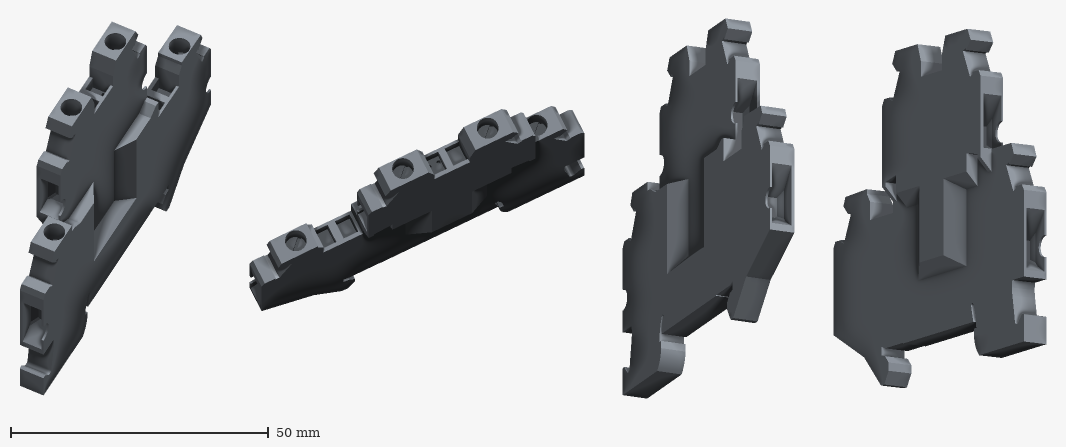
import cadquery as cq

TOTAL_WIDTH = 7.72
SLAB_WIDTH = 5.2
LOWER_X = TOTAL_WIDTH - SLAB_WIDTH
HEIGHT = 64.35
LOWER_HALF_LENGTH = 69.9 / 2
UPPER_HALF_LENGTH = 18.05
UPPER_CENTRE_Y = -5.05

HEAD_RISE = 8.85
LOWER_HEAD_TOP = 40.05
LOWER_LIP_Z = LOWER_HEAD_TOP - HEAD_RISE
UPPER_LIP_Z = HEIGHT - HEAD_RISE

HEAD_OFFSETS = [
    (3.65, 6.5),
    (5.3, 4.75),
    (5.55, 5.15),
    (6.5, 4.75),
    (3.85, -0.85),
    (2.85, -0.4),
    (3.05, 0.0),
    (0.7, 0.0),
    (0.0, -1.2),
]

LEDGE_Z = 33.4
LEDGE_WALL_Y = 21.5
POST_RISE = 1.37
POST_TOP_INSET = 1.1
POST_TOP_TILT = 0.04
PLUS_POST_LENGTH = 3.3
MINUS_POST_LENGTH = 3.6
FOOT_FACE_Z = 12.85
RAIL_SEAT_Z = 6.95

MINUS_HEAD_CORNER_Y = -30.35

PLUS_CLAMP_TOP = [(LEDGE_WALL_Y, LEDGE_Z), (LEDGE_WALL_Y, 37.0), (22.7, 38.75), (22.7, 39.7), (30.6, 39.45)]
RAIL_HOOK = [(23.7, 6.6), (17.5, 0), (16.3, 0), (14.7, 2.45), (14.7, 4.1), (16.0, 5.55),
             (17.25, 5.9), (17.25, 7.6), (16.0, 7.1), (9.45, 7.1), (9.45, RAIL_SEAT_Z)]
SLOT_MOUTH = (-16.4, RAIL_SEAT_Z)
SLOT_INNER_TOP = (-15.55, 10.4)
SLOT_CROWN = (-16.0, 10.75)
SLOT_OUTER_TOP = (-16.4, 10.4)
SLOT_OUTER_MIDDLE = (-17.2, 8.2)
SLOT_OUTER_END = (-17.5, 5.6)
FOOT_NOSE = [(-16.65, 5.6), (-16.65, 4.1)]
FOOT_NOSE_MIDDLE = (-17.2, 2.0)
FOOT_TOE_Y = -18.55
FOOT_LIP = [(-LOWER_HALF_LENGTH, 5.4), (-34.3, 5.6), (-33.0, 4.2)]
RECESS_ARCS = [
    ((-32.3, 3.85), (-31.7, 4.4)),
    ((-31.25, 7.1), (-30.75, 9.8)),
    ((-30.64, 10.6), (-30.6, 11.4)),
    ((-30.64, 12.2), (-30.75, FOOT_FACE_Z)),
]

UPPER_GAP_Z = 57.7
UPPER_GAP_HALF = 3.85
UPPER_INNER_TOP = 5.1
UPPER_CHAMFER_Z = 60.8
UPPER_OUTER_TOP = 13.25

BEVEL_DROP = 2.65
END_BOTTOM_Z = 38.2
BACK_BOTTOM_Z = END_BOTTOM_Z - BEVEL_DROP
MIDDLE_BOTTOM_Z = 36.2
POST_Z = END_BOTTOM_Z
SADDLE_Z = POST_Z - POST_RISE
TONGUE_BOTTOM_Z = 21.05
TONGUE_HALF_NARROW = 4.37
TONGUE_HALF_WIDE = 8.83
NOTCH_OUTER = 16.9
NOTCH_INNER = 12.9
NOTCH_OUTER_Z = 39.0
NOTCH_INNER_Z = 39.75

SCREW_X = 2.92
SCREW_RADIUS = 2.1
SCREW_DEPTH = 5.0
SCREW_SLOT_WIDTH = 0.65
SCREW_SLOT_DEPTH = 0.8
SCREW_INSET = 8.87

SOCKET_X = 0.8
SOCKET_WIDTH = 3.85
SOCKET_LENGTH = 3.15
SOCKET_PITCH = 4.75
SOCKET_DEPTH = 3.0
PIN_RADIUS = 0.4
PIN_DEPTH = 1.5
PIN_SPACING = 2.0
PIN_Y = -1.85
PIN_X = 3.45

ENTRY_X = 0.65
ENTRY_WIDTH = 4.1
ENTRY_DEPTH = 4.6
ENTRY_STRAIGHT = 3.4
ENTRY_NARROWING = 1.0
ENTRY_FACET = 0.35
ENTRY_TOP_DROP = 4.7
ENTRY_ROOF_FALL = 5.4
ENTRY_BACK_HEIGHT = 4.1
ENTRY_FULL_FLOOR = [(0.0, 2.75)]
ENTRY_SHORT_FLOOR = [(3.6, 0.65), (0.0, 1.2)]
ENTRY_HOLE_DROP = 7.1
ENTRY_HOLE_RADIUS = 2.15


def head_outline(end_y, outward, lip_z, tops):
    """Clamp outline from inner top edge to the outer end face; tops holds the points before the head corner."""
    return tops + [(end_y - outward * inset, lip_z + rise) for inset, rise in HEAD_OFFSETS]


def slab(outline, x_start, width):
    return cq.Workplane("YZ").workplane(offset=x_start).polyline(outline).close().extrude(width)


def lower_tier():
    post_y = UPPER_CENTRE_Y + UPPER_HALF_LENGTH
    far_post_y = UPPER_CENTRE_Y - UPPER_HALF_LENGTH
    end = LOWER_HALF_LENGTH
    plus_head = head_outline(end, 1, LOWER_LIP_Z, PLUS_CLAMP_TOP)
    minus_head = head_outline(-end, -1, LOWER_LIP_Z, [(MINUS_HEAD_CORNER_Y, LOWER_HEAD_TOP)])
    saddle = [
        (far_post_y, LOWER_HEAD_TOP),
        (far_post_y, POST_Z + POST_TOP_TILT),
        (far_post_y + POST_TOP_INSET, POST_Z),
        (far_post_y + MINUS_POST_LENGTH, SADDLE_Z),
        (post_y - PLUS_POST_LENGTH, SADDLE_Z),
        (post_y - POST_TOP_INSET, POST_Z),
        (post_y, POST_Z - POST_TOP_TILT),
        (post_y, LEDGE_Z),
    ]
    profile = cq.Workplane("YZ").workplane(offset=LOWER_X).polyline(
        minus_head[::-1] + saddle + plus_head + [(end, FOOT_FACE_Z)] + RAIL_HOOK + [SLOT_MOUTH, SLOT_INNER_TOP])
    profile = profile.threePointArc(SLOT_CROWN, SLOT_OUTER_TOP)
    profile = profile.threePointArc(SLOT_OUTER_MIDDLE, SLOT_OUTER_END)
    profile = profile.polyline(FOOT_NOSE, includeCurrent=True)
    profile = profile.threePointArc(FOOT_NOSE_MIDDLE, (FOOT_TOE_Y, 0))
    profile = profile.polyline([(-end, 0)] + FOOT_LIP, includeCurrent=True)
    for middle, arc_end in RECESS_ARCS:
        profile = profile.threePointArc(middle, arc_end)
    profile = profile.lineTo(-end, FOOT_FACE_Z)
    return profile.close().extrude(SLAB_WIDTH)


def mirrored(points):
    """Half outline given as (distance from the upper tier centre, z), completed by symmetry."""
    right = [(UPPER_CENTRE_Y + half, z) for half, z in points]
    left = [(UPPER_CENTRE_Y - half, z) for half, z in points[::-1]]
    return right + left


def upper_half_top():
    return head_outline(UPPER_HALF_LENGTH, 1, UPPER_LIP_Z, [
        (UPPER_GAP_HALF, UPPER_GAP_Z), (UPPER_GAP_HALF, UPPER_CHAMFER_Z),
        (UPPER_INNER_TOP, HEIGHT), (UPPER_OUTER_TOP, HEIGHT)])


def beveled_block(half_face, half_base, bottom_z, top_z):
    """Block from X = 0 to LOWER_X whose underside (and sides, if wider at the base) slope outwards."""
    def rectangle(plane, half, low):
        return plane.polyline([(UPPER_CENTRE_Y - half, low), (UPPER_CENTRE_Y + half, low),
                               (UPPER_CENTRE_Y + half, top_z), (UPPER_CENTRE_Y - half, top_z)]).close()
    face = rectangle(cq.Workplane("YZ"), half_face, bottom_z)
    base = rectangle(face.workplane(offset=LOWER_X), half_base, bottom_z - BEVEL_DROP)
    return base.loft(ruled=True, combine=True)


def tongue(top_z):
    return beveled_block(TONGUE_HALF_NARROW, TONGUE_HALF_WIDE, TONGUE_BOTTOM_Z, top_z)


def upper_tier():
    top = upper_half_top()
    body = slab(mirrored(top + [(UPPER_HALF_LENGTH, LOWER_HEAD_TOP)]), 0, SLAB_WIDTH)
    skirt = beveled_block(UPPER_HALF_LENGTH, UPPER_HALF_LENGTH, END_BOTTOM_Z, LOWER_HEAD_TOP)
    middle = beveled_block(NOTCH_INNER, NOTCH_INNER, MIDDLE_BOTTOM_Z, LOWER_HEAD_TOP)
    tier = body.union(skirt).union(middle)
    for side in (1, -1):
        inner = UPPER_CENTRE_Y + side * NOTCH_INNER
        outer = UPPER_CENTRE_Y + side * NOTCH_OUTER
        notch = [(inner, 0), (inner, NOTCH_INNER_Z), (outer, NOTCH_OUTER_Z), (outer, 0)]
        tier = tier.cut(slab(notch, 0, LOWER_X))
    back = cq.Workplane("YZ", origin=(LOWER_X, UPPER_CENTRE_Y, (LOWER_HEAD_TOP + BACK_BOTTOM_Z) / 2))
    back = back.rect(2 * UPPER_HALF_LENGTH, LOWER_HEAD_TOP - BACK_BOTTOM_Z).extrude(SLAB_WIDTH - LOWER_X)
    return tier.union(tongue(MIDDLE_BOTTOM_Z)).union(back)


def screw_hole(slab_x, y, top_z):
    floor = cq.Workplane("XY", origin=(slab_x + SCREW_X, y, top_z - SCREW_DEPTH))
    hole = floor.circle(SCREW_RADIUS).extrude(HEIGHT)
    slot = floor.transformed(rotate=(0, 0, -45)).rect(2 * SCREW_RADIUS, SCREW_SLOT_WIDTH)
    slot = slot.extrude(-SCREW_SLOT_DEPTH)
    shank = floor.circle(SCREW_RADIUS).extrude(-SCREW_SLOT_DEPTH)
    return hole.union(slot.intersect(shank))


def socket(slab_x, y_centre, top_z):
    floor = cq.Workplane("XY", origin=(slab_x + SOCKET_X + SOCKET_WIDTH / 2, y_centre, top_z - SOCKET_DEPTH))
    return floor.rect(SOCKET_WIDTH, SOCKET_LENGTH).extrude(SOCKET_DEPTH)


def wire_entry(slab_x, end_y, outward, lip_z, floor):
    """Funnel in an end face; floor holds (depth, fall) points below the back wall."""
    top = lip_z - ENTRY_TOP_DROP
    back_z = top - ENTRY_ROOF_FALL - ENTRY_BACK_HEIGHT
    side = [(0, top), (ENTRY_DEPTH, top - ENTRY_ROOF_FALL), (ENTRY_DEPTH, back_z)]
    side += [(depth, back_z - fall) for depth, fall in floor]
    wedge = slab([(end_y - outward * depth, z) for depth, z in side], slab_x + ENTRY_X, ENTRY_WIDTH)
    left = slab_x + ENTRY_X
    right = left + ENTRY_WIDTH
    plan = [(left, 0), (right, 0), (right, ENTRY_STRAIGHT), (right - ENTRY_NARROWING / 2, ENTRY_DEPTH),
            (left + ENTRY_NARROWING, ENTRY_DEPTH), (left, ENTRY_STRAIGHT)]
    plan = [(x, end_y - outward * depth) for x, depth in plan]
    funnel = wedge.intersect(cq.Workplane("XY").polyline(plan).close().extrude(HEIGHT))
    edge_y = end_y - outward * (ENTRY_STRAIGHT + ENTRY_DEPTH) / 2
    corners = cq.selectors.BoxSelector(
        (left, edge_y - ENTRY_FACET, back_z - 2 * ENTRY_FACET),
        (right, edge_y + ENTRY_FACET, back_z))
    funnel = funnel.edges(corners).chamfer(ENTRY_FACET)
    hole = cq.Workplane("YZ", origin=(right - ENTRY_NARROWING, end_y, top - ENTRY_HOLE_DROP))
    hole = hole.circle(ENTRY_HOLE_RADIUS).extrude(slab_x + SLAB_WIDTH - right + ENTRY_NARROWING)
    return funnel.union(hole)


def tier_cuts(slab_x, centre_y, half_length, lip_z, head_top, floor):
    cuts = []
    for outward in (1, -1):
        end_y = centre_y + outward * half_length
        cuts.append(screw_hole(slab_x, end_y - outward * SCREW_INSET, head_top))
        cuts.append(wire_entry(slab_x, end_y, outward, lip_z, floor))
    return cuts


def sockets():
    first_y = LEDGE_WALL_Y - SOCKET_LENGTH / 2
    lower = [socket(LOWER_X, y, LEDGE_Z) for y in (first_y, first_y - SOCKET_PITCH)]
    offset = UPPER_GAP_HALF - SOCKET_LENGTH / 2
    upper = [socket(0, UPPER_CENTRE_Y + side * offset, UPPER_GAP_Z) for side in (1, -1)]
    return lower + upper


def pin_holes():
    """Two small blind holes in the floor of one upper socket."""
    floor = cq.Workplane("XY", origin=(PIN_X, PIN_Y, UPPER_GAP_Z - SOCKET_DEPTH))
    return floor.pushPoints([(0, 0), (0, -PIN_SPACING)]).circle(PIN_RADIUS).extrude(-PIN_DEPTH)


def tongue_recess():
    """Open-topped recess on +X that receives the tongue of the neighbouring block."""
    return tongue(HEIGHT).translate((SLAB_WIDTH, 0, 0))


cuts = [tongue_recess()]
cuts += tier_cuts(0, UPPER_CENTRE_Y, UPPER_HALF_LENGTH, UPPER_LIP_Z, HEIGHT, ENTRY_SHORT_FLOOR)
cuts += tier_cuts(LOWER_X, 0, LOWER_HALF_LENGTH, LOWER_LIP_Z, LOWER_HEAD_TOP, ENTRY_FULL_FLOOR)
cuts += sockets()
cuts.append(pin_holes())

result = lower_tier().union(upper_tier())
for cut in cuts:
    result = result.cut(cut)